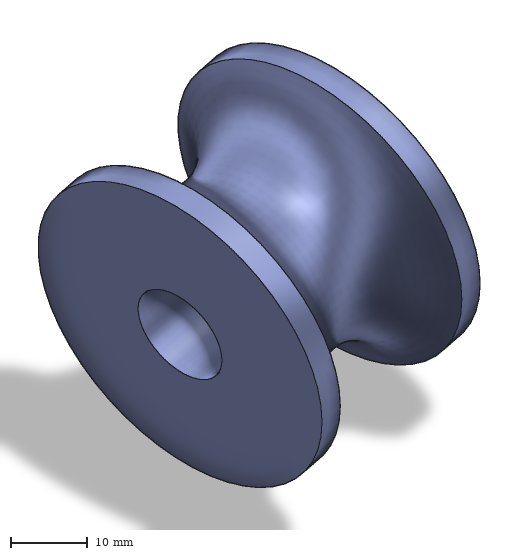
import cadquery as cq

outer_diameter = 48.2
width = 32.0
bore_diameter = 14.2
waist_diameter = 29.1
rim_width = 3.7

outer_radius = outer_diameter / 2
half_width = width / 2
groove_half_width = half_width - rim_width

profile = (
    cq.Workplane("XY")
    .moveTo(bore_diameter / 2, -half_width)
    .lineTo(outer_radius, -half_width)
    .lineTo(outer_radius, -groove_half_width)
    .threePointArc((waist_diameter / 2, 0), (outer_radius, groove_half_width))
    .lineTo(outer_radius, half_width)
    .lineTo(bore_diameter / 2, half_width)
    .close()
)

result = profile.revolve(360, (0, 0, 0), (0, 1, 0))